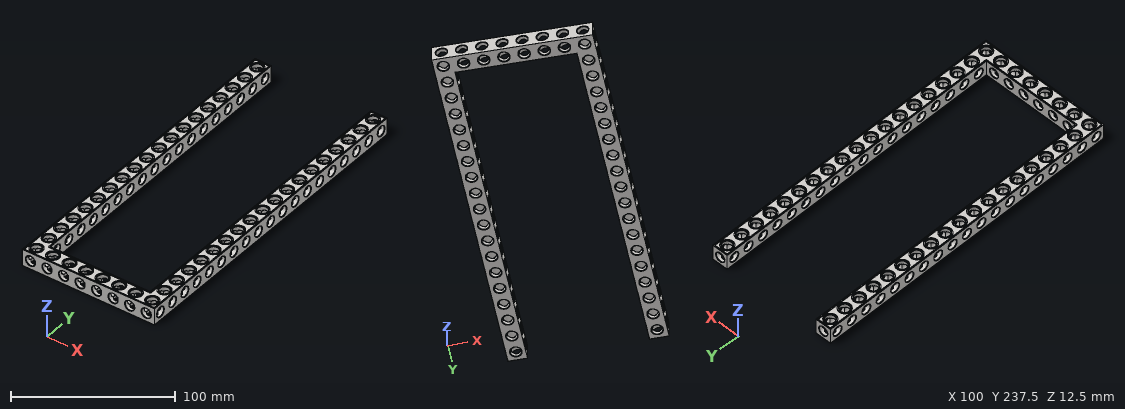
import cadquery as cq

pitch = 12.5
holes_across = 8
holes_along = 19
bar_width = 12.3
height = pitch
width = holes_across * pitch
length = holes_along * pitch

bore_diameter = 7.0
mouth_chamfer = 0.3

rim_width = 0.9
collar_diameter = 9.2
recess_depth = 0.25

x_centers = [(i + 0.5) * pitch for i in range(holes_across)]
y_centers = [(i + 0.5) * pitch for i in range(holes_along)]
arm_x_centers = [x_centers[0], x_centers[-1]]
arm_holes = [(x, y) for x in arm_x_centers for y in y_centers]
cross_bar_holes = [(x, y_centers[0]) for x in x_centers[1:-1]]
vertical_holes = arm_holes + cross_bar_holes
mid_height = height / 2

bore_radius = bore_diameter / 2


def u_shape(inset, bottom, thickness):
    """U-shaped plate, open towards +Y, whose outline lies `inset` inside the frame's."""
    left = inset
    right = width - inset
    front = inset
    back = length - inset
    inner_left = bar_width - inset
    inner_right = width - bar_width + inset
    inner_front = bar_width - inset
    outline = [
        (left, front),
        (right, front),
        (right, back),
        (inner_right, back),
        (inner_right, inner_front),
        (inner_left, inner_front),
        (inner_left, back),
        (left, back),
    ]
    return (
        cq.Workplane("XY", origin=(0, 0, bottom))
        .polyline(outline)
        .close()
        .extrude(thickness)
    )


def top_recess():
    """Sunken part of the top face: the inset U without the collars."""
    floor = height - recess_depth
    collars = (
        cq.Workplane("XY", origin=(0, 0, floor))
        .pushPoints(vertical_holes)
        .circle(collar_diameter / 2)
        .extrude(recess_depth)
    )
    return u_shape(rim_width, floor, recess_depth).cut(collars)


def bore_cutters(start, direction, bore_length):
    """A straight bore with a chamfer cone at each mouth, entering at `start`."""
    entry = cq.Vector(*start)
    inward = cq.Vector(*direction)
    far_end = entry + inward * bore_length
    mouth_radius = bore_radius + mouth_chamfer
    return [
        cq.Solid.makeCylinder(bore_radius, bore_length, entry, inward),
        cq.Solid.makeCone(mouth_radius, bore_radius, mouth_chamfer, entry, inward),
        cq.Solid.makeCone(mouth_radius, bore_radius, mouth_chamfer, far_end, inward * -1),
    ]


def vertical_cutters():
    cutters = []
    for x, y in vertical_holes:
        cutters += bore_cutters((x, y, 0), (0, 0, 1), height)
    return cutters


def crosswise_cutters():
    """Bores along X: one through the full cross bar, the rest through each arm."""
    cutters = bore_cutters((0, y_centers[0], mid_height), (1, 0, 0), width)
    for y in y_centers[1:]:
        for arm_left in (0, width - bar_width):
            cutters += bore_cutters((arm_left, y, mid_height), (1, 0, 0), bar_width)
    return cutters


def lengthwise_cutters():
    """Bores along Y: through the full length of the arms and through the cross bar."""
    cutters = []
    for x in x_centers:
        bore_length = length if x in arm_x_centers else bar_width
        cutters += bore_cutters((x, 0, mid_height), (0, 1, 0), bore_length)
    return cutters


frame = u_shape(0, 0, height).cut(top_recess())
all_cutters = vertical_cutters() + crosswise_cutters() + lengthwise_cutters()
bored_frame = frame.val().cut(*all_cutters)
result = cq.Workplane(obj=bored_frame.Solids()[0])